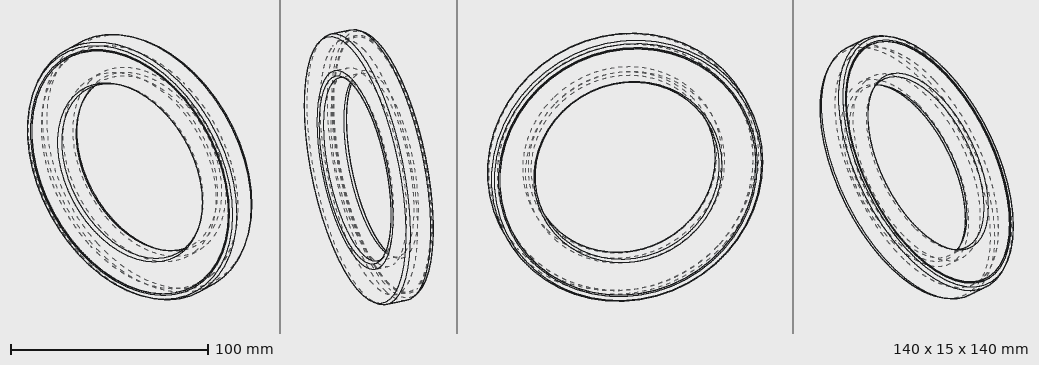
import cadquery as cq

outer_radius = 70.0
bore_radius = 47.5
width = 15.0
front_y = -width / 2
middle_y = 0.0
back_y = width / 2

edge_chamfer_axial = 2.0
edge_chamfer_radial = 1.1

rim_inner_radius = 66.1
flange_clearance = 0.1
flange_radius = rim_inner_radius - flange_clearance
rim_chamfer_radial = 0.7
rim_chamfer_axial = 0.4

rim_thickness = outer_radius - rim_inner_radius
hub_radius = bore_radius + rim_thickness


def revolve_about_y(profile):
    """Turn a closed (radius, y) outline into a ring around the Y axis."""
    return cq.Workplane("XY").polyline(profile).close().revolve(360, (0, 0, 0), (0, 1, 0))


def make_outer_ring():
    """Rim with an inward flange along its back half."""
    return revolve_about_y([
        (rim_inner_radius + rim_chamfer_radial, front_y),
        (outer_radius - edge_chamfer_radial, front_y),
        (outer_radius, front_y + edge_chamfer_axial),
        (outer_radius, back_y - edge_chamfer_axial),
        (outer_radius - edge_chamfer_radial, back_y),
        (hub_radius, back_y),
        (hub_radius, middle_y),
        (rim_inner_radius, middle_y),
        (rim_inner_radius, front_y + rim_chamfer_axial),
    ])


def make_inner_ring():
    """Hub with an outward flange along its front half, seated against the outer ring's flange."""
    return revolve_about_y([
        (bore_radius + edge_chamfer_radial, front_y),
        (flange_radius, front_y),
        (flange_radius, middle_y),
        (hub_radius, middle_y),
        (hub_radius, back_y),
        (bore_radius + edge_chamfer_radial, back_y),
        (bore_radius, back_y - edge_chamfer_axial),
        (bore_radius, front_y + edge_chamfer_axial),
    ])


outer_ring = make_outer_ring()
inner_ring = make_inner_ring()

result = cq.Compound.makeCompound([outer_ring.val(), inner_ring.val()])